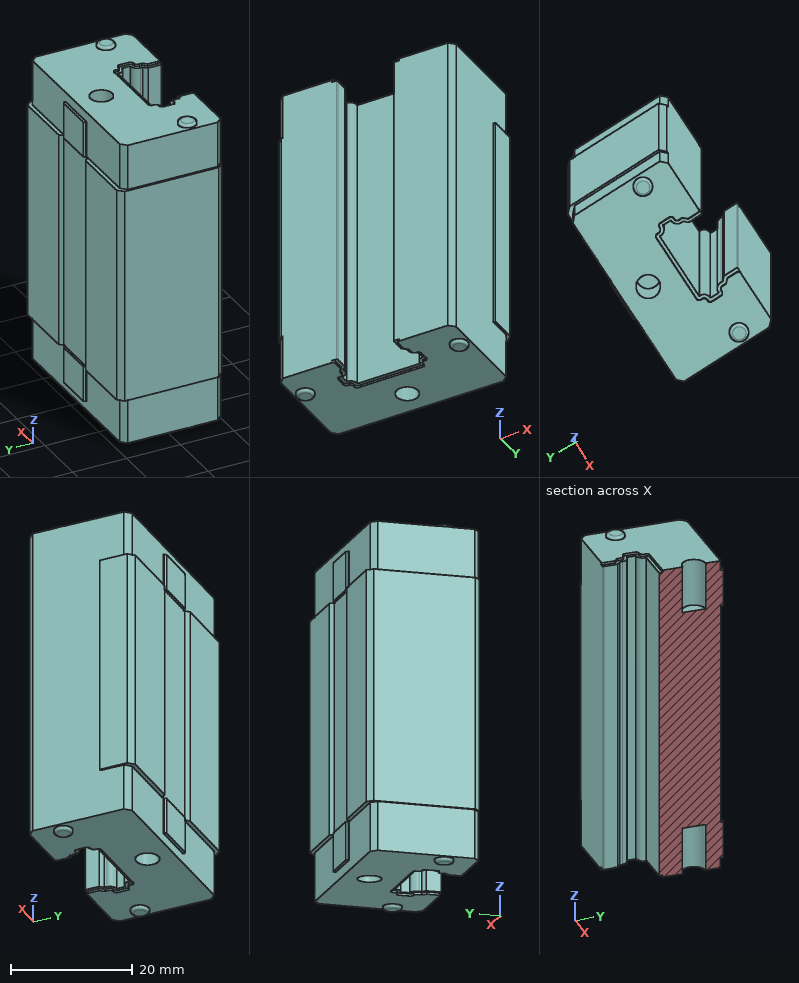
import cadquery as cq
import math

total_height = 19.5
block_width = 34.0
block_length = 39.8
cap_length = 8.4
corner_chamfer = 1.0

relief_depth = 0.35
relief_height = 13.5

groove_half_width = 4.85
groove_depth = 0.65

cap_drop = 0.75
pad_half_width = 3.85
pad_drop = 0.25
pad_end_gap = 1.8
pad_chamfer = 0.3
pad_embed = 0.3

throat_half_width = 5.35
throat_height = 2.6
neck_half_width = 6.0
neck_height = throat_height + neck_half_width - throat_half_width
pocket_half_width = 7.25
pocket_bottom = 4.9
pocket_top = 6.5
ceiling_height = 7.9
lobe_radius = 1.2
leg_fillet = 0.15

recess_margin = 0.6
recess_depth = 0.4
recess_leg_fillet = 0.45
recess_corner_radius = 0.5

port_diameter = 4.0
port_height = 14.05
screw_spacing = 29.2
screw_height = 5.65
screw_head_diameter = 3.2
screw_head_height = 0.6
head_fillet = 0.5

cap_width = block_width - 2 * relief_depth
half_block = block_length / 2
cap_height = total_height - cap_drop
pad_top = total_height - pad_drop
body_half_length = half_block + cap_length


def prism(outline, start, length):
    """Extrude a closed polygon along Z from the given level."""
    return cq.Workplane("XY").workplane(offset=start).polyline(outline).close().extrude(length)


def make_block():
    side = block_width / 2
    lower_side = side - relief_depth
    c = corner_chamfer
    groove_floor = total_height - groove_depth
    floor_half_width = groove_half_width - groove_depth
    outline = [
        (-side + c, 0),
        (lower_side - c, 0),
        (lower_side, c),
        (lower_side, relief_height),
        (side, relief_height),
        (side, total_height - c),
        (side - c, total_height),
        (groove_half_width, total_height),
        (floor_half_width, groove_floor),
        (-floor_half_width, groove_floor),
        (-groove_half_width, total_height),
        (-side + c, total_height),
        (-side, total_height - c),
        (-side, c),
    ]
    return prism(outline, -half_block, block_length)


def make_top_cap():
    cap = (
        cq.Workplane("XY").workplane(offset=half_block)
        .center(0, cap_height / 2).rect(cap_width, cap_height).extrude(cap_length)
        .edges("|Z").chamfer(corner_chamfer)
    )
    pad_outline = [
        (-pad_half_width, cap_height - pad_embed),
        (pad_half_width, cap_height - pad_embed),
        (pad_half_width, pad_top - pad_chamfer),
        (pad_half_width - pad_chamfer, pad_top),
        (-pad_half_width + pad_chamfer, pad_top),
        (-pad_half_width, pad_top - pad_chamfer),
    ]
    pad = prism(pad_outline, half_block, cap_length - pad_end_gap)
    port = (
        cq.Workplane("XY").workplane(offset=half_block)
        .center(0, port_height).circle(port_diameter / 2).extrude(cap_length)
    )
    return cap.union(pad).cut(port)


def make_top_screws():
    positions = [(side * screw_spacing / 2, screw_height) for side in (-1, 1)]
    return (
        cq.Workplane("XY").workplane(offset=body_half_length)
        .pushPoints(positions).circle(screw_head_diameter / 2).extrude(screw_head_height)
        .faces(">Z").edges().fillet(head_fillet)
    )


def mirrored_pair(feature):
    """The feature at the +Z end together with its mirror image at the -Z end."""
    return feature.union(feature.mirror("XY"))


def rail_opening(margin, fillet, start, length):
    """Rail clearance, widened by margin, with rounded lower leg corners."""
    throat = throat_half_width + margin
    neck = neck_half_width + margin
    pocket = pocket_half_width + margin
    floor = pocket_bottom - margin
    roof = pocket_top + margin
    ceiling = ceiling_height + margin
    r = lobe_radius - margin
    bend = r * (1 - math.cos(math.pi / 4))
    slope_drop = margin * math.tan(math.pi / 8)
    right_half = (
        cq.Workplane("XY").workplane(offset=start)
        .moveTo(0, 0).lineTo(throat + fillet, 0)
        .radiusArc((throat, fillet), fillet)
        .lineTo(throat, throat_height - slope_drop).lineTo(neck, neck_height - slope_drop)
        .lineTo(neck, floor - r)
        .threePointArc((neck + bend, floor - bend), (neck + r, floor))
        .lineTo(pocket, floor).lineTo(pocket, roof)
        .lineTo(neck + r, roof)
        .threePointArc((neck + bend, roof + bend), (neck, roof + r))
        .lineTo(neck, ceiling).lineTo(0, ceiling).close()
        .extrude(length)
    )
    return right_half.union(right_half.mirror("YZ"))


def make_top_recess():
    """Shallow recess following the rail opening in the +Z end face."""
    recess = rail_opening(
        recess_margin, recess_leg_fillet, body_half_length - recess_depth, recess_depth
    )
    corners = [
        (pocket_half_width, pocket_bottom - recess_margin),
        (pocket_half_width, pocket_top + recess_margin),
        (neck_half_width, ceiling_height + recess_margin),
    ]
    mid_level = body_half_length - recess_depth / 2
    for half_width, height in corners:
        for side in (-1, 1):
            corner = (side * (half_width + recess_margin), height, mid_level)
            nearest = cq.selectors.NearestToPointSelector(corner)
            recess = recess.edges(nearest).fillet(recess_corner_radius)
    return recess


rail_clearance = rail_opening(0, leg_fillet, -body_half_length, 2 * body_half_length)

result = (
    make_block()
    .union(mirrored_pair(make_top_cap()))
    .union(mirrored_pair(make_top_screws()))
    .cut(rail_clearance)
    .cut(mirrored_pair(make_top_recess()))
    .translate((0, -total_height / 2, 0))
)